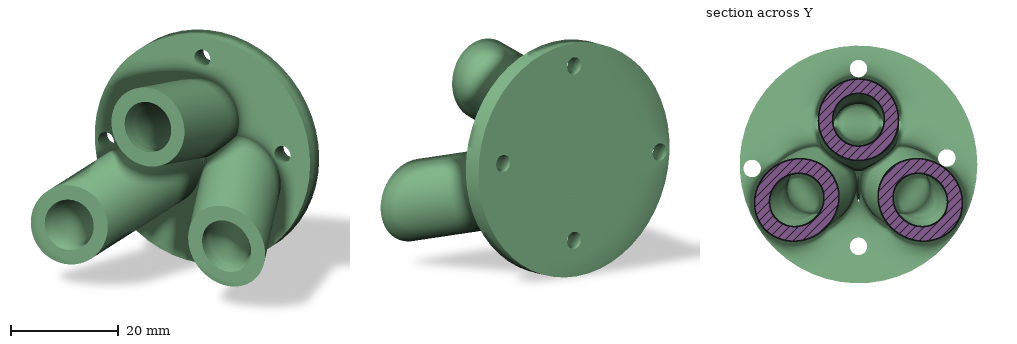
import cadquery as cq
import math

flange_diameter = 44.14
flange_thickness = 4.0
flange_front = 0.0

tube_outer_diameter = 14.96
tube_bore_diameter = 9.53
total_depth = 27.97
tube_reach = total_depth - flange_thickness

upper_tilt = 10.9
upper_end = (0.0, 11.0)

lower_tilt = 22.5
lower_heading = 36.7
lower_end = (16.12, -10.05)

screw_hole_diameter = 3.23
screw_hole_centres = [(-19.75, -0.75), (16.4, 1.2), (0.0, -15.2), (0.0, 17.8)]

notch_height = 5.0
notch_width = 0.86
notch_centre_z = -4.55


def lean(tilt, heading):
    """Sideways travel (X, Z) per unit of reach; heading is measured from +X toward +Z."""
    slope = math.tan(math.radians(tilt))
    angle = math.radians(heading)
    return slope * math.cos(angle), slope * math.sin(angle)


def mirrored(point):
    """Mirror an (X, Z) pair across the X = 0 plane."""
    return -point[0], point[1]


def slab(root):
    """Space between the plane Y = root and the plane of the tube ends."""
    side = 4 * flange_diameter
    return cq.Workplane("XZ", origin=(0, root, 0)).rect(side, side).extrude(root + tube_reach)


def leaning_rod(end, travel, diameter, root):
    """Round rod with its axis through the end centre, trimmed flat at Y = root and at the tube ends."""
    axis = cq.Vector(travel[0], -1, travel[1])
    overrun = diameter + root
    end_centre = cq.Vector(end[0], -tube_reach, end[1])
    start = end_centre - axis * (tube_reach + overrun)
    length = axis.Length * (tube_reach + 2 * overrun)
    rod = cq.Solid.makeCylinder(diameter / 2, length, start, axis)
    return cq.Workplane(obj=rod).intersect(slab(root))


def flange():
    disc = cq.Workplane("XZ").circle(flange_diameter / 2).extrude(-flange_thickness)
    holes = (
        cq.Workplane("XZ")
        .pushPoints(screw_hole_centres)
        .circle(screw_hole_diameter / 2)
        .extrude(-flange_thickness)
    )
    return disc.cut(holes)


def root_notch():
    """Lens-shaped notch through the flange, in the gap between the roots of the two lower tubes."""
    half_height = notch_height / 2
    half_width = notch_width / 2
    return (
        cq.Workplane("XZ")
        .center(0, notch_centre_z)
        .moveTo(0, half_height)
        .threePointArc((half_width, 0), (0, -half_height))
        .threePointArc((-half_width, 0), (0, half_height))
        .close()
        .extrude(-flange_thickness)
    )


upper_lean = lean(upper_tilt, 90)
lower_lean = lean(lower_tilt, -lower_heading)
tubes = [
    (upper_end, upper_lean),
    (lower_end, lower_lean),
    (mirrored(lower_end), mirrored(lower_lean)),
]

result = flange().cut(root_notch())
for end, travel in tubes:
    result = result.union(leaning_rod(end, travel, tube_outer_diameter, flange_thickness))

for end, travel in tubes:
    result = result.cut(leaning_rod(end, travel, tube_bore_diameter, flange_front))